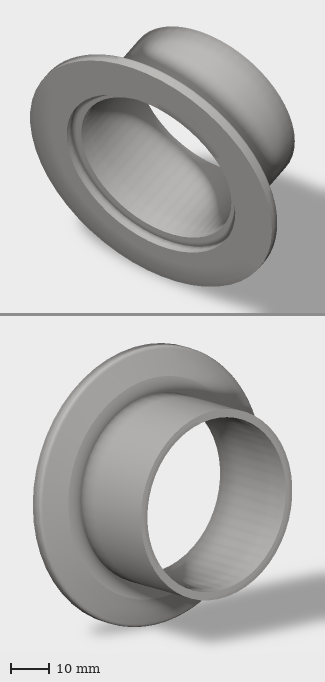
import cadquery as cq
import math

flange_diameter = 75.0
total_length = 30.0
tube_diameter = 50.85
bore_diameter = 46.5

recess_diameter = 52.3
recess_depth = 2.6

flange_thickness = 5.1
cone_angle = 15.0
cone_inner_radius = 29.7
rim_fillet = 1.0

flange_radius = flange_diameter / 2
cone_drop = (flange_radius - cone_inner_radius) * math.tan(math.radians(cone_angle))
rim_height = flange_thickness - cone_drop


def cylinder(diameter, length):
    """Cylinder from the sealing face at Y = 0 along +Y."""
    return cq.Workplane("XZ").circle(diameter / 2).extrude(-length)


def make_flange():
    """Flange with a sloped back and a rounded rim edge."""
    profile = (
        cq.Workplane("XY")
        .lineTo(flange_radius, 0)
        .lineTo(flange_radius, rim_height)
        .lineTo(cone_inner_radius, flange_thickness)
        .lineTo(0, flange_thickness)
        .close()
    )
    flange = profile.revolve(360, (0, 0, 0), (0, 1, 0))
    rim_edge = flange.faces("%CONE").edges("<Y")
    return rim_edge.fillet(rim_fillet)


tube = cylinder(tube_diameter, total_length)
bore = cylinder(bore_diameter, total_length)
recess = cylinder(recess_diameter, recess_depth)

result = make_flange().union(tube).cut(bore).cut(recess)